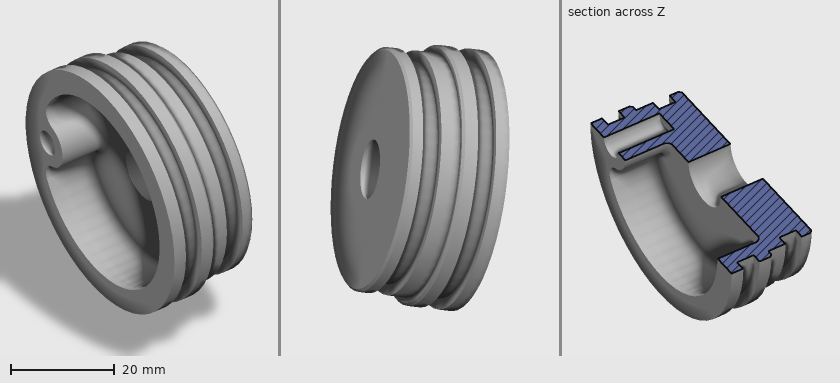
import cadquery as cq
import math

length = 19.65
front_radius = 25.4
rear_radius = 23.8
groove_depth = 2.15
groove_width = 3.7
front_groove_start = 2.7
shoulder_y = 9.5
rear_groove_start = 13.35
edge_chamfer = 0.5

bore_radius = 5.8
pin_radius = 2.6
pin_offset = 17.9
pin_depth = 12.7

pocket_radius = 20.3
pocket_depth = 10.0
boss_radius = 5.15
blend_radius = 3.05
floor_fillet = 1.25


def cylinder(radius, start, depth, x=0):
    """Solid cylinder along +Y, starting at y = start."""
    return cq.Workplane("XZ", origin=(x, start, 0)).circle(radius).extrude(-depth)


def groove(outer_radius, start):
    """Ring to remove for a square groove."""
    ring = cylinder(outer_radius + groove_depth, start, groove_width)
    return ring.cut(cylinder(outer_radius - groove_depth, start, groove_width))


def make_body():
    front = cylinder(front_radius, 0, shoulder_y).faces(">Y").edges().chamfer(edge_chamfer)
    rear = cylinder(rear_radius, 0, length).faces(">Y").edges().chamfer(edge_chamfer)
    body = front.union(rear)
    body = body.cut(groove(front_radius, front_groove_start))
    return body.cut(groove(rear_radius, rear_groove_start))


def make_pocket():
    to_axis = pocket_radius - blend_radius
    to_pin = boss_radius + blend_radius
    blend_x = -(to_axis**2 + pin_offset**2 - to_pin**2) / (2 * pin_offset)
    blend_z = math.sqrt(to_axis**2 - blend_x**2)

    wall_x = blend_x * pocket_radius / to_axis
    wall_z = blend_z * pocket_radius / to_axis
    boss_x = -pin_offset + (blend_x + pin_offset) * boss_radius / to_pin
    boss_z = blend_z * boss_radius / to_pin

    wall_angle = math.atan2(blend_z, blend_x)
    boss_angle = math.atan2(-blend_z, -pin_offset - blend_x) % (2 * math.pi)
    middle_angle = (wall_angle + boss_angle) / 2
    middle_x = blend_x + blend_radius * math.cos(middle_angle)
    middle_z = blend_z + blend_radius * math.sin(middle_angle)

    outline = (
        cq.Workplane("XZ")
        .moveTo(wall_x, wall_z)
        .threePointArc((pocket_radius, 0), (wall_x, -wall_z))
        .threePointArc((middle_x, -middle_z), (boss_x, -boss_z))
        .threePointArc((boss_radius - pin_offset, 0), (boss_x, boss_z))
        .threePointArc((middle_x, middle_z), (wall_x, wall_z))
        .close()
    )
    return outline.extrude(-pocket_depth).faces(">Y").edges().fillet(floor_fillet)


result = (
    make_body()
    .cut(make_pocket())
    .cut(cylinder(bore_radius, 0, length))
    .cut(cylinder(pin_radius, 0, pin_depth, x=-pin_offset))
)